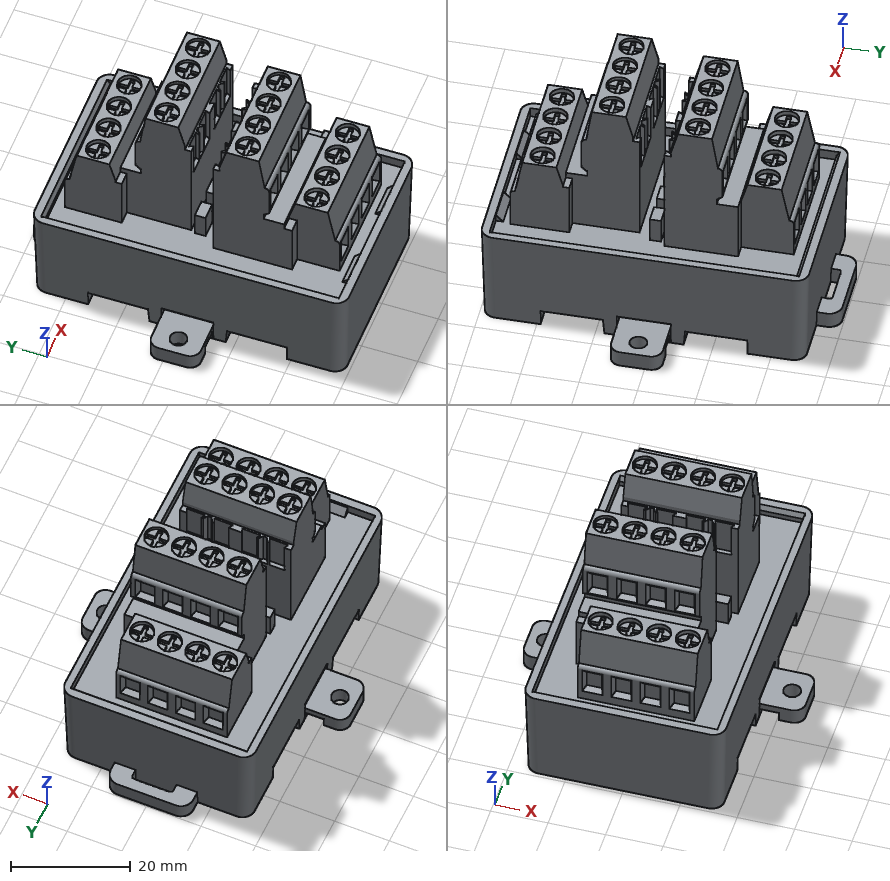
import cadquery as cq
BASE_WIDTH = 34.05
BASE_LENGTH = 55.1
HOUSING_HEIGHT = 18.05
WALL_FLARE = 0.4
CORNER_RADIUS = 2.25

TRAY_WIDTH = 32.2
TRAY_END = 25.9
TRAY_DEPTH = 1.8
TRAY_END_GAP = 0.6
TRAY_BEVEL_DEPTH = 0.85
FLOOR_Z = HOUSING_HEIGHT - TRAY_DEPTH

SNAP_WIDTH = 6.05
SNAP_SPACING = 16.05
SNAP_REACH = 1.25

UNDERSIDE_Y = 0.1

RAIL_SLOT_DEPTH = 3.0
RAIL_SLOT_OUTER = 17.7
RAIL_SLOT_INNER_TOP = 7.0
RAIL_SLOT_INNER_BOTTOM = 6.8

EAR_SPAN = 49.0
EAR_WIDTH = 8.85
EAR_THICKNESS = 3.0
EAR_RADIUS = 1.95
EAR_HOLE_X = 21.4
EAR_HOLE_DIAMETER = 3.0
EAR_RELIEF_X = 20.4
EAR_RELIEF_HEIGHT = 1.65
EAR_RIB_WIDTH = 4.1
EAR_WINDOW_WIDTH = 9.2
EAR_WINDOW_TOP = 4.15
EAR_WINDOW_DEPTH = 2.4

LOOP_TIP_Y = 31.55
LOOP_WIDTH = 15.1
LOOP_THICKNESS = 3.0
LOOP_RADIUS = 2.25
LOOP_SLOT_WIDTH = 7.5
LOOP_SLOT_TIP_Y = 29.4
LOOP_SLOT_RADIUS = 0.5

HOOK_WIDTH = LOOP_WIDTH
HOOK_TOP = 1.65
LATCH_HOOK_TIP_Y = 16.0
LATCH_HOOK_TIP_Z = 0.85
LATCH_HOOK_BEVEL = 0.65
FIXED_HOOK_TIP_Y = -15.2
FIXED_HOOK_TIP_Z = 1.0
HOOK_HEEL_Z = 0.1

LAMP_CENTRES_X = (-7.75, -2.25, 3.4, 8.8)
LAMP_WIDTH = 3.2
LAMP_LENGTH = 1.9
LAMP_Y = 0.65
LAMP_TOP = 20.8

POLES = 4
POLE_PITCH = 5.05
ROW_WIDTH = 20.3
ROW_STAGGER = 2.45
ROW_SHIFT = ROW_STAGGER / 2

UPPER_TOP = 41.5
UPPER_LIP_Z = 34.15
UPPER_LIP_HEIGHT = 0.95
UPPER_FACE_Y = -12.3
UPPER_BACK_Y = -2.4
UPPER_LEDGE_Z = 36.3
UPPER_LEDGE_STEP = 0.9
UPPER_SCREW_Y = -7.6
UPPER_SCREW_DEPTH = 0.65

LOWER_TOP = 30.25
LOWER_LIP_Z = 22.85
LOWER_LIP_HEIGHT = 0.8
LOWER_FACE_Y = -24.0
LOWER_BACK_Y = -13.85
LOWER_LEDGE_Z = 26.1
LOWER_LEDGE_STEP = 0.5
LOWER_SCREW_Y = -19.0
LOWER_SCREW_DEPTH = 0.9

CROWN_WIDTH = 5.85
LIP_DEPTH = 0.8
LIP_ROUND = 0.25
NOSE_HEIGHT = 5.2
NOSE_UNDERCUT = 0.95
SHELF_Z = 27.2
LEDGE_DEPTH = 1.15
SHELF_FRONT_Y = LOWER_BACK_Y - LEDGE_DEPTH
FOOT_FRONT_Y = -16.4

SCREW_DIAMETER = 4.1
CROSS_LENGTH = 3.45
CROSS_WIDTH = 0.8
CROSS_DEPTH = 0.6

OPENING_WIDTH = 3.6
OPENING_HEIGHT = 4.9
THROAT_WIDTH = 2.6
THROAT_HEIGHT = 3.1
THROAT_DROP = 1.35
OPENING_DEPTH = 1.2

KEYWAY_DEPTH = 0.8
KEYWAY_BOTTOM_Z = 29.9
DOVETAIL_MOUTH = 2.7
DOVETAIL_FLOOR = 3.35
NOTCH_MOUTH = 1.7
NOTCH_FLOOR = 0.65


def box(x_min, x_max, y_min, y_max, z_min, z_max):
    """Box given by its limits."""
    size = (x_max - x_min, y_max - y_min, z_max - z_min)
    return cq.Workplane("XY").box(*size, centered=False).translate((x_min, y_min, z_min))


def prism_along_x(points, x_centre, width):
    """Closed (Y, Z) outline extruded along X about x_centre."""
    plane = cq.Workplane("YZ", origin=(x_centre, 0, 0))
    return plane.polyline(points).close().extrude(width / 2, both=True)


def make_shell():
    """Solid base with outward-leaning walls and rounded corners."""
    base = cq.Sketch().rect(BASE_WIDTH, BASE_LENGTH).vertices().fillet(CORNER_RADIUS)
    rim_width = BASE_WIDTH + 2 * WALL_FLARE
    rim_length = BASE_LENGTH + 2 * WALL_FLARE
    rim = cq.Sketch().rect(rim_width, rim_length).vertices().fillet(CORNER_RADIUS)
    rim_place = cq.Location(cq.Vector(0, 0, HOUSING_HEIGHT))
    return cq.Workplane("XY").placeSketch(base, rim.moved(rim_place)).loft()


def make_tray():
    """Recess in the top, with the +Y wall bevelled towards the rim."""
    rim_end = TRAY_END + TRAY_END_GAP
    outline = [
        (-rim_end, FLOOR_Z),
        (TRAY_END, FLOOR_Z),
        (TRAY_END, HOUSING_HEIGHT - TRAY_BEVEL_DEPTH),
        (rim_end, HOUSING_HEIGHT),
        (-rim_end, HOUSING_HEIGHT),
    ]
    return prism_along_x(outline, 0, TRAY_WIDTH)


def make_snap(x_centre):
    """Wedge on the -Y tray wall."""
    wall_y = -(TRAY_END + TRAY_END_GAP)
    outline = [(wall_y, FLOOR_Z), (wall_y + SNAP_REACH, FLOOR_Z), (wall_y, FLOOR_Z + SNAP_REACH)]
    return prism_along_x(outline, x_centre, SNAP_WIDTH)


def make_rail_slot(side):
    """Slot under the base along X; side is +1 for +Y and -1 for -Y."""
    outline = [
        (UNDERSIDE_Y + side * RAIL_SLOT_OUTER, 0),
        (UNDERSIDE_Y + side * RAIL_SLOT_OUTER, RAIL_SLOT_DEPTH),
        (UNDERSIDE_Y + side * RAIL_SLOT_INNER_TOP, RAIL_SLOT_DEPTH),
        (UNDERSIDE_Y + side * RAIL_SLOT_INNER_BOTTOM, 0),
    ]
    return prism_along_x(outline, 0, 2 * BASE_WIDTH)


def make_latch_hook():
    """Blunt hook reaching into the +Y rail slot."""
    wall_y = UNDERSIDE_Y + RAIL_SLOT_OUTER
    outline = [
        (wall_y, 0),
        (wall_y, HOOK_TOP),
        (LATCH_HOOK_TIP_Y, HOOK_TOP),
        (LATCH_HOOK_TIP_Y, LATCH_HOOK_TIP_Z),
        (LATCH_HOOK_TIP_Y + LATCH_HOOK_BEVEL, 0),
    ]
    return prism_along_x(outline, 0, HOOK_WIDTH)


def make_fixed_hook():
    """Wedge-shaped hook reaching into the -Y rail slot."""
    wall_y = UNDERSIDE_Y - RAIL_SLOT_OUTER
    outline = [
        (wall_y, HOOK_HEEL_Z),
        (wall_y, HOOK_TOP),
        (FIXED_HOOK_TIP_Y, HOOK_TOP),
        (FIXED_HOOK_TIP_Y, FIXED_HOOK_TIP_Z),
    ]
    return prism_along_x(outline, 0, HOOK_WIDTH)


def make_ear_window(side):
    """Opening in the side wall above an ear, with a roof that slopes down inwards."""
    wall_x = BASE_WIDTH / 2
    outline = [
        (side * (wall_x - EAR_WINDOW_DEPTH), 0),
        (side * (wall_x - EAR_WINDOW_DEPTH), EAR_THICKNESS),
        (side * wall_x, EAR_WINDOW_TOP),
        (side * (wall_x + WALL_FLARE), EAR_WINDOW_TOP),
        (side * (wall_x + WALL_FLARE), 0),
    ]
    plane = cq.Workplane("XZ", origin=(0, UNDERSIDE_Y, 0))
    return plane.polyline(outline).close().extrude(EAR_WINDOW_WIDTH / 2, both=True)


def make_ears():
    """Bar with rounded ends whose two ears carry the mounting holes."""
    ears = cq.Workplane("XY").rect(EAR_SPAN, EAR_WIDTH).extrude(EAR_THICKNESS)
    ears = ears.edges("|Z").fillet(EAR_RADIUS)
    hole_places = [(-EAR_HOLE_X, 0), (EAR_HOLE_X, 0)]
    ears = ears.faces(">Z").workplane().pushPoints(hole_places).hole(EAR_HOLE_DIAMETER)
    wall_x = BASE_WIDTH / 2
    for x_min, x_max in ((-EAR_RELIEF_X, -wall_x), (wall_x, EAR_RELIEF_X)):
        for y_min, y_max in ((-EAR_WIDTH / 2, -EAR_RIB_WIDTH / 2), (EAR_RIB_WIDTH / 2, EAR_WIDTH / 2)):
            ears = ears.cut(box(x_min, x_max, y_min, y_max, 0, EAR_RELIEF_HEIGHT))
    return ears.translate((0, UNDERSIDE_Y, 0))


def make_loop():
    """Pull loop of the rail latch on the +Y end."""
    root_y = BASE_LENGTH / 2
    anchor_y = root_y - LOOP_RADIUS
    loop = box(-LOOP_WIDTH / 2, LOOP_WIDTH / 2, anchor_y, LOOP_TIP_Y, 0, LOOP_THICKNESS)
    loop = loop.edges("|Z and >Y").fillet(LOOP_RADIUS)
    slot = box(-LOOP_SLOT_WIDTH / 2, LOOP_SLOT_WIDTH / 2, root_y, LOOP_SLOT_TIP_Y, 0, LOOP_THICKNESS)
    return loop.cut(slot.edges("|Z and >Y").fillet(LOOP_SLOT_RADIUS))


def make_lamp(x_centre):
    """Indicator lamp standing on the tray floor."""
    lamp = cq.Workplane("XY", origin=(x_centre, LAMP_Y, FLOOR_Z)).rect(LAMP_WIDTH, LAMP_LENGTH)
    return lamp.extrude(LAMP_TOP - FLOOR_Z)


def make_housing():
    housing = make_shell().cut(make_tray())
    for side in (-1, 1):
        housing = housing.cut(make_rail_slot(side))
        housing = housing.cut(make_ear_window(side))
        housing = housing.union(make_snap(side * SNAP_SPACING / 2))
    housing = housing.union(make_ears()).union(make_loop())
    housing = housing.union(make_latch_hook()).union(make_fixed_hook())
    for x_centre in LAMP_CENTRES_X:
        housing = housing.union(make_lamp(x_centre))
    return housing


def make_upper_row():
    """Upper row: sloped head, undercut nose and shelf."""
    ledge_y = UPPER_BACK_Y - LEDGE_DEPTH
    lip_middle = (UPPER_FACE_Y + LIP_ROUND * LIP_DEPTH, UPPER_LIP_Z + (1 - LIP_ROUND) * UPPER_LIP_HEIGHT)
    nose_root_y = UPPER_FACE_Y + NOSE_UNDERCUT
    outline = (
        cq.Workplane("YZ", origin=(-ROW_SHIFT, 0, 0))
        .moveTo(UPPER_BACK_Y, FLOOR_Z)
        .lineTo(UPPER_BACK_Y, UPPER_LEDGE_Z)
        .lineTo(ledge_y, UPPER_LEDGE_Z)
        .lineTo(ledge_y, UPPER_LEDGE_Z + UPPER_LEDGE_STEP)
        .lineTo(UPPER_SCREW_Y + CROWN_WIDTH / 2, UPPER_TOP)
        .lineTo(UPPER_SCREW_Y - CROWN_WIDTH / 2, UPPER_TOP)
        .lineTo(UPPER_FACE_Y + LIP_DEPTH, UPPER_LIP_Z + UPPER_LIP_HEIGHT)
        .threePointArc(lip_middle, (UPPER_FACE_Y, UPPER_LIP_Z))
        .lineTo(UPPER_FACE_Y, UPPER_LIP_Z - NOSE_HEIGHT)
        .lineTo(nose_root_y, SHELF_Z + NOSE_UNDERCUT)
        .lineTo(nose_root_y, SHELF_Z)
        .lineTo(SHELF_FRONT_Y, SHELF_Z)
        .lineTo(SHELF_FRONT_Y, FLOOR_Z)
        .close()
    )
    return outline.extrude(ROW_WIDTH / 2, both=True)


def make_foot():
    """Long foot in front of the upper row, as high as the ledge of the lower row."""
    side_x = ROW_WIDTH / 2
    foot = box(-side_x, side_x, FOOT_FRONT_Y, SHELF_FRONT_Y, FLOOR_Z, LOWER_LEDGE_Z)
    return foot.translate((-ROW_SHIFT, 0, 0))


def make_lower_row():
    """Lower row: sloped head above a plain front face."""
    ledge_y = LOWER_BACK_Y - LEDGE_DEPTH
    lip_middle = (LOWER_FACE_Y + LIP_ROUND * LIP_DEPTH, LOWER_LIP_Z + (1 - LIP_ROUND) * LOWER_LIP_HEIGHT)
    outline = (
        cq.Workplane("YZ", origin=(ROW_SHIFT, 0, 0))
        .moveTo(LOWER_BACK_Y, FLOOR_Z)
        .lineTo(LOWER_BACK_Y, LOWER_LEDGE_Z)
        .lineTo(ledge_y, LOWER_LEDGE_Z)
        .lineTo(ledge_y, LOWER_LEDGE_Z + LOWER_LEDGE_STEP)
        .lineTo(LOWER_SCREW_Y + CROWN_WIDTH / 2, LOWER_TOP)
        .lineTo(LOWER_SCREW_Y - CROWN_WIDTH / 2, LOWER_TOP)
        .lineTo(LOWER_FACE_Y + LIP_DEPTH, LOWER_LIP_Z + LOWER_LIP_HEIGHT)
        .threePointArc(lip_middle, (LOWER_FACE_Y, LOWER_LIP_Z))
        .lineTo(LOWER_FACE_Y, FLOOR_Z)
        .close()
    )
    return outline.extrude(ROW_WIDTH / 2, both=True)


def make_screw_recess(x, y, top_z, depth):
    """Round recess over a screw head, with the cross slot in the head below it."""
    slot_depth = depth + CROSS_DEPTH
    plane = cq.Workplane("XY", origin=(x, y, top_z))
    recess = plane.circle(SCREW_DIAMETER / 2).extrude(-depth)
    recess = recess.union(plane.rect(CROSS_LENGTH, CROSS_WIDTH).extrude(-slot_depth))
    return recess.union(plane.rect(CROSS_WIDTH, CROSS_LENGTH).extrude(-slot_depth))


def make_wire_funnel(x, face_y, lip_z):
    """Rectangular wire entry that narrows from the front face inwards."""
    mouth_z = lip_z - OPENING_HEIGHT / 2
    throat_z = lip_z - THROAT_DROP - THROAT_HEIGHT / 2
    return (
        cq.Workplane("XZ", origin=(x, face_y, mouth_z))
        .rect(OPENING_WIDTH, OPENING_HEIGHT)
        .workplane(offset=-OPENING_DEPTH)
        .center(0, throat_z - mouth_z)
        .rect(THROAT_WIDTH, THROAT_HEIGHT)
        .loft(combine=True)
    )


def make_keyway(x, mouth_width, floor_width):
    """Vertical groove in the back of the upper row, open at the ledge."""
    floor_y = UPPER_BACK_Y - KEYWAY_DEPTH
    outline = [
        (x - mouth_width / 2, UPPER_BACK_Y),
        (x + mouth_width / 2, UPPER_BACK_Y),
        (x + floor_width / 2, floor_y),
        (x - floor_width / 2, floor_y),
    ]
    plane = cq.Workplane("XY", origin=(0, 0, KEYWAY_BOTTOM_Z))
    return plane.polyline(outline).close().extrude(UPPER_LEDGE_Z - KEYWAY_BOTTOM_Z)


def make_terminal_block():
    """Two-level block standing on the -Y half of the tray floor."""
    block = make_upper_row().union(make_lower_row())
    for pole in range(POLES):
        offset = (pole - (POLES - 1) / 2) * POLE_PITCH
        upper_x = offset - ROW_SHIFT
        lower_x = offset + ROW_SHIFT
        block = block.cut(make_screw_recess(upper_x, UPPER_SCREW_Y, UPPER_TOP, UPPER_SCREW_DEPTH))
        block = block.cut(make_screw_recess(lower_x, LOWER_SCREW_Y, LOWER_TOP, LOWER_SCREW_DEPTH))
        block = block.cut(make_wire_funnel(upper_x, UPPER_FACE_Y, UPPER_LIP_Z))
        block = block.cut(make_wire_funnel(lower_x, LOWER_FACE_Y, LOWER_LIP_Z))
        block = block.cut(make_keyway(upper_x, DOVETAIL_MOUTH, DOVETAIL_FLOOR))
    for side in (-1, 1):
        block = block.cut(make_keyway(side * POLE_PITCH - ROW_SHIFT, NOTCH_MOUTH, NOTCH_FLOOR))
    return block


housing = make_housing()

front_block = make_terminal_block().union(make_foot())
rear_block = make_terminal_block().rotate((0, 0, 0), (0, 0, 1), 180)

result = cq.Compound.makeCompound([housing.val(), front_block.val(), rear_block.val()])